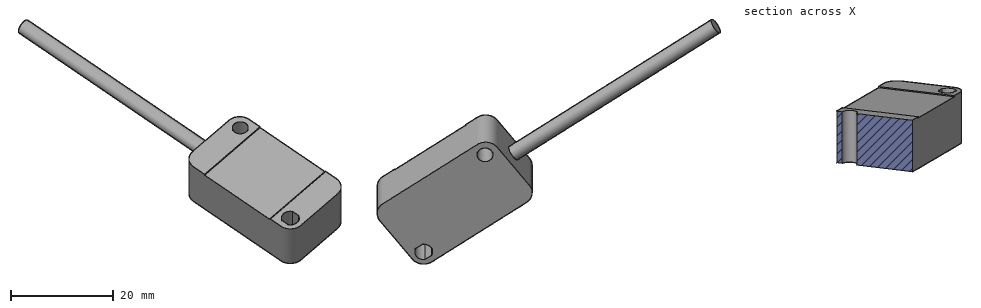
import cadquery as cq

total_length = 77.2
body_length = 28.3
body_width = 16.3
body_height = 10.5

corner_radius = 2.8
end_pad_length = 5.6
recess_depth = 0.2

hole_diameter = 3.1
hole_end_margin = 2.9
flatted_hole_diameter = 3.5
flatted_hole_width = 3.1
flatted_hole_end_margin = 2.8
hole_side_margin = 2.8
hole_x = hole_end_margin - body_length / 2
flatted_hole_x = body_length / 2 - flatted_hole_end_margin
hole_y = body_width / 2 - hole_side_margin

cable_diameter = 3.1
cable_length = total_length - body_length
cable_height = 5.1


def make_housing():
    """Block with rounded vertical corners, centred on the Z axis and standing on Z = 0."""
    block = cq.Workplane("XY").box(body_length, body_width, body_height, centered=(True, True, False))
    return block.edges("|Z").fillet(corner_radius)


def make_top_recess():
    """Shallow step across the full width, between the two end pads."""
    recess_length = body_length - 2 * end_pad_length
    recess = cq.Workplane("XY").workplane(offset=body_height - recess_depth)
    return recess.rect(recess_length, body_width).extrude(recess_depth)


def make_round_hole():
    """Through hole in the -X, +Y corner."""
    return cq.Workplane("XY").center(hole_x, hole_y).circle(hole_diameter / 2).extrude(body_height)


def make_flatted_hole():
    """Through hole in the +X, -Y corner: a circle trimmed by two flats parallel to X."""
    circle = (
        cq.Workplane("XY")
        .center(flatted_hole_x, -hole_y)
        .circle(flatted_hole_diameter / 2)
        .extrude(body_height)
    )
    flats = (
        cq.Workplane("XY")
        .center(flatted_hole_x, -hole_y)
        .rect(flatted_hole_diameter, flatted_hole_width)
        .extrude(body_height)
    )
    return circle.intersect(flats)


def make_cable():
    """Straight round cable running from the -X face of the housing."""
    return (
        cq.Workplane("YZ", origin=(-body_length / 2, 0, cable_height))
        .circle(cable_diameter / 2)
        .extrude(-cable_length)
    )


housing = make_housing().cut(make_top_recess()).cut(make_round_hole()).cut(make_flatted_hole())
result = housing.union(make_cable())